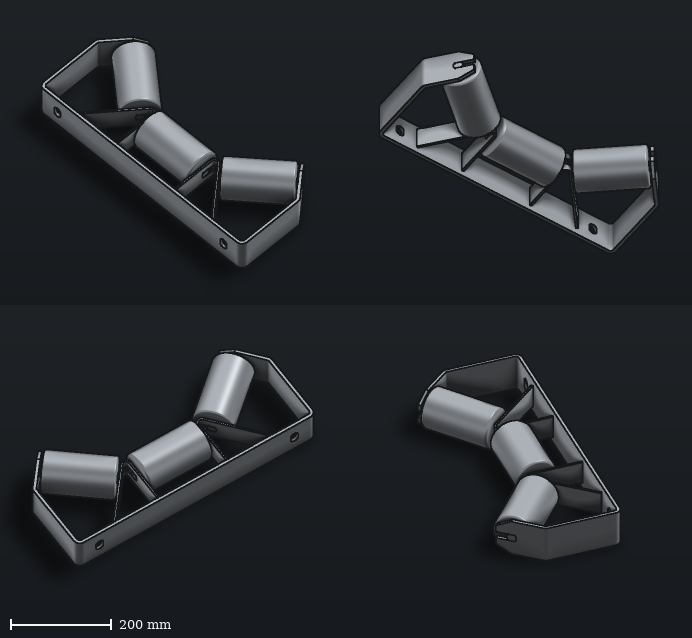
import cadquery as cq
import math

frame_width = 570.0
frame_depth = 243.5
frame_height = 80.0
frame_thickness = 8.0
frame_bend_radius = 15.0
trough_angle = 40.0
tip_chamfer_length = 32.0
tip_chamfer_drop = 17.0

mount_slot_x = 232.5
mount_slot_width = 17.5
mount_slot_length = 25.0

bracket_thickness = 4.5
bracket_height = 50.0
bracket_bend_radius = 11.0
bracket_top_y = 129.0

roller_diameter = 89.0
roller_length = 150.0
roller_edge_radius = 5.0
shaft_diameter = 20.0
shaft_flat_width = 15.0
shoulder_gap = 1.0
seat_span = 159.0
axis_below_bend = 18.0

tilt = math.radians(trough_angle)
side_axis = cq.Vector(math.cos(tilt), -math.sin(tilt))
side_up = cq.Vector(math.sin(tilt), math.cos(tilt))

half_width = frame_width / 2
bend_centre = cq.Vector(-seat_span / 2 - bracket_bend_radius, bracket_top_y - bracket_bend_radius)
middle_centre = cq.Vector(0, bend_centre.y - axis_below_bend)
side_centre = (
    bend_centre - side_up * axis_below_bend - side_axis * (bracket_bend_radius + seat_span / 2)
)

arm_reach = side_centre.dot(side_axis) - seat_span / 2 - frame_thickness
arm_corner_y = (arm_reach + half_width * side_axis.x) / side_axis.y


def left_of(direction):
    return cq.Vector(-direction.y, direction.x)


def bent_plate(corners, thickness, outer_radius, height):
    """Plate bent around its left side; corners are the sharp corners of its outer face."""
    directions = [(b - a).normalized() for a, b in zip(corners, corners[1:])]
    first_inner = corners[0] + left_of(directions[0]) * thickness
    last_inner = corners[-1] + left_of(directions[-1]) * thickness
    bends = []
    for corner, before, after in zip(corners[1:-1], directions, directions[1:]):
        setback = outer_radius * math.tan(before.getAngle(after) / 2)
        centre = corner - before * setback + left_of(before) * outer_radius
        outward = [-left_of(before), (corner - centre).normalized(), -left_of(after)]
        bends.append((centre, outward))

    outline = cq.Workplane("XY", origin=(0, 0, -height / 2)).moveTo(corners[0].x, corners[0].y)
    for centre, outward in bends:
        start, middle, end = [(centre + d * outer_radius).toTuple()[:2] for d in outward]
        outline = outline.lineTo(*start).threePointArc(middle, end)
    outline = outline.lineTo(corners[-1].x, corners[-1].y).lineTo(last_inner.x, last_inner.y)
    for centre, outward in reversed(bends):
        end, middle, start = [(centre + d * (outer_radius - thickness)).toTuple()[:2] for d in outward]
        outline = outline.lineTo(*start).threePointArc(middle, end)
    return outline.lineTo(first_inner.x, first_inner.y).close().extrude(height)


def place_middle(body):
    return body.translate(middle_centre)


def place_left(body):
    return body.rotate((0, 0, 0), (0, 0, 1), -trough_angle).translate(side_centre)


def place_right(body):
    return place_left(body).mirror("YZ")


def flatted_shaft(start, length):
    """Round bar along X with flats facing +Z and -Z."""
    bar = cq.Workplane("YZ", origin=(start, 0, 0)).circle(shaft_diameter / 2).extrude(length)
    slab = cq.Workplane("XY").box(2 * (abs(start) + length), shaft_diameter, shaft_flat_width)
    return bar.intersect(slab)


def make_roller(plate_left, plate_right):
    """Roller along X whose shaft ends are flush with the far faces of its two plates."""
    drum = (
        cq.Workplane("YZ", origin=(-roller_length / 2, 0, 0))
        .circle(roller_diameter / 2)
        .extrude(roller_length)
        .faces("<X or >X")
        .edges()
        .fillet(roller_edge_radius)
    )
    round_length = seat_span - 2 * shoulder_gap
    journal = (
        cq.Workplane("YZ", origin=(-round_length / 2, 0, 0))
        .circle(shaft_diameter / 2)
        .extrude(round_length)
    )
    tongue = flatted_shaft(-seat_span / 2 - plate_left, seat_span + plate_left + plate_right)
    return drum.union(journal).union(tongue)


def make_seat_slots():
    """Cutter for the open slots at both ends of a roller, rounded below to fit the shaft."""
    slots = cq.Workplane("XY")
    depth = bracket_bend_radius
    for start in (-seat_span / 2 - depth, seat_span / 2):
        opening = cq.Workplane("XY", origin=(start, 0, 0)).box(
            depth, frame_depth, shaft_flat_width, centered=(False, False, True)
        )
        slots = slots.add(flatted_shaft(start, depth).union(opening))
    return slots.combine()


def make_frame():
    arm_start = cq.Vector(-half_width, arm_corner_y)
    tip = arm_start + side_up * ((frame_depth - arm_corner_y) / side_up.y)
    left_corners = [tip, arm_start, cq.Vector(-half_width, 0)]
    right_corners = [cq.Vector(-p.x, p.y) for p in reversed(left_corners)]
    frame = bent_plate(left_corners + right_corners, frame_thickness, frame_bend_radius, frame_height)

    mount_slots = (
        cq.Workplane("XZ")
        .pushPoints([(-mount_slot_x, 0), (mount_slot_x, 0)])
        .slot2D(mount_slot_length, mount_slot_width, 90)
        .extrude(-frame_thickness)
    )
    frame = frame.cut(mount_slots)

    arm_plane = cq.Plane(origin=tip.toTuple(), xDir=side_up.toTuple(), normal=(-side_axis).toTuple())
    edge = frame_height / 2
    for side in (-1, 1):
        corner = (
            cq.Workplane(arm_plane)
            .polyline([
                (0, side * edge),
                (-tip_chamfer_length, side * edge),
                (0, side * (edge - tip_chamfer_drop)),
            ])
            .close()
            .extrude(-frame_thickness)
        )
        frame = frame.cut(corner).cut(corner.mirror("YZ"))
    for place in (place_left, place_right):
        frame = frame.cut(place(make_seat_slots()))
    return frame


def make_left_bracket():
    """Upright leg, bend and inclined leg, both feet standing on the frame base."""
    upright_x = -seat_span / 2
    foot_y = frame_thickness
    face_point = bend_centre - side_axis * bracket_bend_radius
    apex = face_point + side_up * ((upright_x - face_point.x) / side_up.x)
    inclined_foot_y = foot_y + bracket_thickness * math.sin(tilt)
    inclined_foot = apex - side_up * ((apex.y - inclined_foot_y) / side_up.y)
    corners = [cq.Vector(upright_x, foot_y), apex, inclined_foot]
    bracket = bent_plate(corners, bracket_thickness, bracket_bend_radius, bracket_height)
    for place in (place_middle, place_left):
        bracket = bracket.cut(place(make_seat_slots()))
    return bracket


frame = make_frame()
left_bracket = make_left_bracket()
right_bracket = left_bracket.mirror("YZ")
middle_roller = place_middle(make_roller(bracket_thickness, bracket_thickness))
side_rollers = [
    place(make_roller(frame_thickness, bracket_thickness)) for place in (place_left, place_right)
]

result = cq.Compound.makeCompound([
    frame.val(),
    left_bracket.val(),
    right_bracket.val(),
    middle_roller.val(),
    *[roller.val() for roller in side_rollers],
])